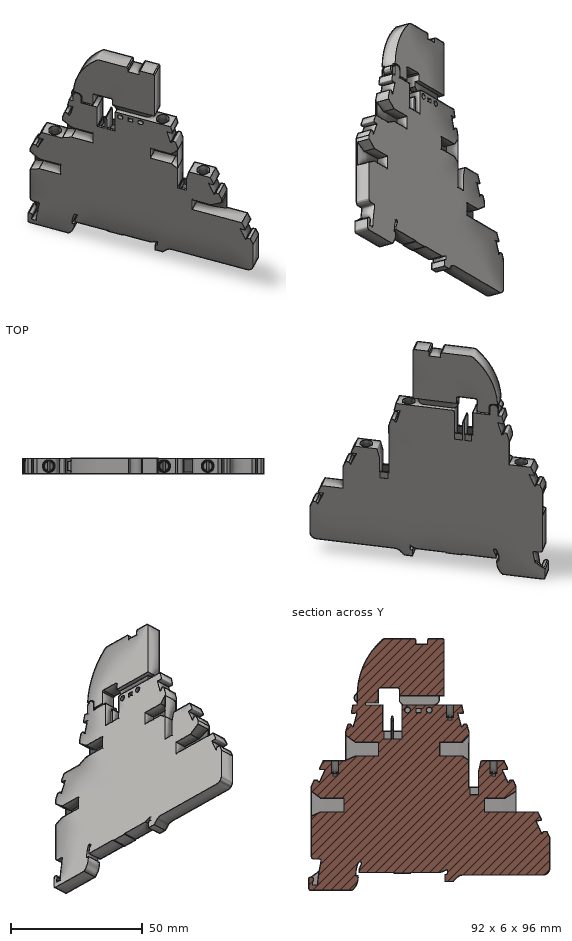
import cadquery as cq
height = 96
length = 91.95
plug_width = 6.0
body_width = 5.95
mid_y = body_width / 2

upper_deck_z = 70.7
middle_deck_z = 49.4
lower_deck_z = 29.9
deck_gap_floor_z = 39.35
left_shelf_z = 11.9
rail_seat_z = 6.8
right_base_z = 5.9
rail_foot_z = 3.4

lower_left_x = 1.0
upper_left_x = 14.1
upper_right_x = 61.0
deck_gap_right_x = 64.7
middle_right_x = 79.1
shelf_radius = 1.2
hook_radius = 1.0
base_radius = 2.7
diagonal = 0.5 ** 0.5

upper_corners_x = (16.9, 58.4)
middle_corners_x = (5.6, 74.5)
lower_corner_x = 87.3

web_thickness = 1.1

post_left_x = 18.4
post_right_x = 21.7
post_radius = (post_right_x - post_left_x) / 2
post_top_z = 75.3
cheek_width = 0.9

blade_slot_left_x = 28.3
blade_slot_right_x = 35.5
blade_slot_floor_z = 60.7
blade_slot_radius = 0.8
blade_x = 31.9
blade_thickness = 0.9
blade_tip_thickness = 0.3
blade_tip_length = 1.15
blade_top_z = 66.5

well_depth = 2.9
well_front_wall = 0.8
well_back_wall = 0.3
well_side_wall = 0.5

plug_left_x = 18.5
plug_right_x = 51.6
plug_bottom_z = 74.1
plug_leg_right_x = 26.6
plug_leg_bottom_z = 71.4
plug_window_right_x = 34.6
plug_window_top_z = 77.2
plug_notch_left_x = 40.9
plug_notch_right_x = 45.3
plug_notch_depth = 2.1
plug_corner = 0.5
post_clearance = 0.3
nub_width = 3.4
nub_tip_x = 17.4
nub_bottom_z = 71.8
nub_top_z = 75.1
plinth_right_x = 49.8
plinth_width = 2.5

screws = [(10.0, middle_deck_z), (53.9, upper_deck_z), (70.5, middle_deck_z)]
screw_hole_diameter = 4.8
screw_bore_diameter = 4.3
screw_diameter = 4.0
screw_top_diameter = 3.5
screw_hole_depth = 5.8
screw_rim_height = 0.5
screw_height = 1.4
screw_slot_width = 1.0
screw_slot_depth = 0.8

entry_height = 5.2
entry_top_flare = 2.7
entry_bottom_flare = 1.6
entry_depth = 4.6
entry_mouth_depth = 5.4
upper_entry_z = 51.3

test_hole_z = 68.7
test_holes_x = [37.7, 46.0]
test_hole_diameter = 2.1
window_x = sum(test_holes_x) / 2
window_z = 68.5
window_length = 1.8
window_height = 1.5
test_hole_depth = 1.9


def prism(steps, y_front, y_back):
    """Extrude a closed XZ outline along Y; a step is a point, or a (mid, end) pair for an arc."""
    outline = cq.Workplane("XZ", origin=(0, y_front, 0)).moveTo(*steps[0])
    for step in steps[1:]:
        if isinstance(step[0], tuple):
            outline = outline.threePointArc(*step)
        else:
            outline = outline.lineTo(*step)
    return outline.close().extrude(y_front - y_back)


def box(x_left, x_right, y_front, y_back, z_bottom, z_top):
    size = (x_right - x_left, y_back - y_front, z_top - z_bottom)
    return cq.Workplane("XY").box(*size, centered=False).translate((x_left, y_front, z_bottom))


def cylinder(x, z, diameter, length_z):
    return cq.Workplane("XY", origin=(x, mid_y, z)).circle(diameter / 2).extrude(length_z)


def reverse_path(steps):
    """The same run of lines and arcs, walked from its end to its start."""
    ends = [step[1] if isinstance(step[0], tuple) else step for step in steps]
    reverse = [ends[-1]]
    for index in range(len(steps) - 1, 0, -1):
        if isinstance(steps[index][0], tuple):
            reverse.append((steps[index][0], ends[index - 1]))
        else:
            reverse.append(ends[index - 1])
    return reverse


def marker_groove(corner_x, deck_z, side, steep):
    """Groove from a deck corner outwards and down to the wall; side is -1 for left, 1 for right."""
    def at(outward, down):
        return (corner_x + side * outward, deck_z - down)

    if steep:
        return [
            at(0, 0), at(0.6, 2.6), (at(0.5, 3.2), at(0, 3.3)), at(-1.5, 3.2), at(-0.1, 8.35),
            at(0.5, 8.0), (at(1.4, 7.3), at(2.1, 8.0)), at(2.8, 10.3),
        ]
    return [
        at(0, 0), at(1.3, 2.8), (at(1.2, 3.3), at(0.9, 3.4)), at(-0.7, 3.5), at(1.5, 8.35),
        at(2.2, 7.4), at(3.5, 7.4), at(4.4, 9.4), at(4.6, 10.0),
    ]


def body():
    left_steps = (
        reverse_path(marker_groove(middle_corners_x[0], middle_deck_z, -1, steep=False))
        + [(upper_left_x, middle_deck_z)]
        + reverse_path(marker_groove(upper_corners_x[0], upper_deck_z, -1, steep=True))
    )
    post_shoulder_z = post_top_z - post_radius
    post = [
        (post_left_x, upper_deck_z), (post_left_x, post_shoulder_z),
        ((post_left_x + post_radius, post_top_z), (post_right_x, post_shoulder_z)),
        (post_right_x, upper_deck_z),
    ]
    r = blade_slot_radius
    blade_slot = [
        (blade_slot_left_x, upper_deck_z), (blade_slot_left_x, blade_slot_floor_z),
        (blade_slot_right_x, blade_slot_floor_z), (blade_slot_right_x, upper_deck_z - r),
        ((blade_slot_right_x + r * (1 - diagonal), upper_deck_z - r * (1 - diagonal)),
         (blade_slot_right_x + r, upper_deck_z)),
    ]
    deck_gap = [
        (upper_right_x, deck_gap_floor_z), (deck_gap_right_x, deck_gap_floor_z),
        (deck_gap_right_x, 45.3), (65.6, 48.9), ((65.7, 49.2), (66.2, middle_deck_z)),
    ]
    right_steps = (
        marker_groove(upper_corners_x[1], upper_deck_z, 1, steep=True)
        + deck_gap
        + marker_groove(middle_corners_x[1], middle_deck_z, 1, steep=False)
        + [(middle_right_x, lower_deck_z)]
        + marker_groove(lower_corner_x, lower_deck_z, 1, steep=False)
    )
    r = base_radius
    base = [
        (length, right_base_z + r),
        ((length - r * (1 - diagonal), right_base_z + r * (1 - diagonal)), (length - r, right_base_z)),
    ]
    rail_foot = [
        (58.8, right_base_z), ((57.5, 5.6), (56.4, 4.8)), (55.0, rail_foot_z), (51.9, rail_foot_z),
        (51.9, 5.95), (52.9, 6.3), (52.9, 7.9), (52.3, 7.7), (50.2, rail_seat_z),
    ]
    rail_pad = [
        (38.8, rail_seat_z), (38.8, rail_seat_z - 0.3), (32.6, rail_seat_z - 0.3), (32.6, rail_seat_z),
    ]
    latch_slit = [
        (19.3, rail_seat_z), (19.3, 8.2), (20.2, 10.4), ((19.7, 10.8), (19.0, 10.7)),
        ((18.3, 8.6), (18.0, 5.7)), (18.9, 5.7), ((18.3, 2.3), (16.6, 0)),
    ]
    r = hook_radius
    hook = [
        (r, 0), ((r * (1 - diagonal), r * (1 - diagonal)), (0, r)), (0, 4.6), (0.5, 5.1),
        ((1.4, 5.0), (1.9, 4.0)), (1.5, 3.1), (1.5, 2.1), (3.4, 2.1), ((3.7, 5.8), (4.2, 8.6)),
        (4.7, 11.2), ((4.6, 11.7), (4.1, left_shelf_z)),
    ]
    r = shelf_radius
    shelf = [
        (lower_left_x + r, left_shelf_z),
        ((lower_left_x + r * (1 - diagonal), left_shelf_z + r * (1 - diagonal)),
         (lower_left_x, left_shelf_z + r)),
    ]
    outline = left_steps + post + blade_slot + right_steps + base
    outline += rail_foot + rail_pad + latch_slit + hook + shelf
    return prism(outline, 0, body_width)


def hook_web():
    outline = [(1.15, 5.3), (3.9, 7.3), (3.9, 1.9), (1.15, 1.9)]
    return prism(outline, body_width - web_thickness, body_width)


def slot_well(left_x, right_x, floor_z):
    return box(left_x + well_side_wall, right_x, well_front_wall, body_width - well_back_wall,
               floor_z - well_depth, floor_z)


def tongue_gap():
    """Space between the two cheeks of the latch post."""
    return box(post_left_x - 1, post_right_x, cheek_width, body_width - cheek_width,
               plug_leg_bottom_z, post_top_z + 1)


def blade():
    half = blade_thickness / 2
    half_tip = blade_tip_thickness / 2
    root_z = blade_slot_floor_z - well_depth
    shoulder_z = blade_top_z - blade_tip_length
    outline = [
        (blade_x - half, root_z), (blade_x - half, shoulder_z), (blade_x - half_tip, blade_top_z),
        (blade_x + half_tip, blade_top_z), (blade_x + half, shoulder_z), (blade_x + half, root_z),
    ]
    return prism(outline, 0, body_width)


def plug():
    c = plug_corner
    notch_z = height - plug_notch_depth
    outline = [
        (plug_left_x, plug_leg_bottom_z), (plug_left_x, post_top_z), ((22.0, 87.9), (28.0, 95.5)),
        ((28.5, 95.8), (29.1, height)), (plug_notch_left_x - c, height),
        (plug_notch_left_x, height - c), (plug_notch_left_x, notch_z), (plug_notch_right_x, notch_z),
        (plug_notch_right_x, height - c), (plug_notch_right_x + c, height),
        (plug_right_x - c, height), (plug_right_x, height - c), (plug_right_x, plug_bottom_z),
        (plug_window_right_x, plug_bottom_z), (plug_window_right_x, plug_window_top_z - c),
        (plug_window_right_x - c, plug_window_top_z), (plug_leg_right_x + c, plug_window_top_z),
        (plug_leg_right_x, plug_window_top_z - c), (plug_leg_right_x, plug_leg_bottom_z),
    ]
    left = post_left_x - 1
    right = post_right_x + post_clearance
    bottom = plug_leg_bottom_z - 1
    top = post_top_z + post_clearance
    middle = post_left_x + post_radius
    radius = right - middle
    recess = [
        (left, bottom), (left, top), (middle, top),
        ((middle + radius * diagonal, top - radius * (1 - diagonal)), (right, top - radius)),
        (right, bottom),
    ]
    front_recess = prism(recess, 0, cheek_width)
    back_recess = prism(recess, body_width - cheek_width, plug_width)
    return prism(outline, 0, plug_width).cut(front_recess).cut(back_recess)


def latch_nub():
    mid_z = (nub_bottom_z + nub_top_z) / 2
    root_x = post_left_x + 1
    outline = [
        (root_x, nub_bottom_z), (post_left_x, nub_bottom_z),
        ((nub_tip_x, mid_z), (post_left_x, nub_top_z)), (root_x, nub_top_z),
    ]
    return prism(outline, mid_y - nub_width / 2, mid_y + nub_width / 2)


def plinth():
    outline = [
        (plug_window_right_x, plug_bottom_z), (plug_window_right_x, 72.1), (35.7, upper_deck_z),
        (47.9, upper_deck_z), ((49.2, 71.3), (plinth_right_x, 72.6)), (plinth_right_x, plug_bottom_z),
    ]
    return prism(outline, mid_y - plinth_width / 2, mid_y + plinth_width / 2)


def wire_entry(mouth_x, side, floor_z, funnel, ramp, total, bottom_flare=entry_bottom_flare):
    """Wire entry open at the front; it flares towards its mouth, which faces the given side."""
    top_z = floor_z + entry_height
    mouth_bottom_z = floor_z - bottom_flare
    mouth_top_z = top_z + entry_top_flare
    end_x = mouth_x - side * total
    throat_x = mouth_x - side * funnel
    ramp_x = mouth_x - side * ramp
    outline = [
        (end_x, floor_z), (throat_x, floor_z), (mouth_x, mouth_bottom_z),
        (mouth_x, mouth_top_z), (throat_x, top_z), (end_x, top_z),
    ]
    plan = [
        (end_x, 0), (end_x, entry_depth), (ramp_x, entry_depth),
        (mouth_x, entry_mouth_depth), (mouth_x, 0),
    ]
    envelope = cq.Workplane("XY").polyline(plan).close().extrude(height)
    return prism(outline, 0, entry_mouth_depth).intersect(envelope)


def screw_hole(x, deck_z):
    """Stepped hole with a slotted screw head left standing on its floor."""
    floor_z = deck_z - screw_hole_depth
    screw_top_z = floor_z + screw_height
    rim_z = screw_top_z - screw_rim_height
    bevel = (screw_diameter - screw_top_diameter) / 2
    half_slot = screw_slot_width / 2
    slot = box(x - half_slot, x + half_slot, 0, body_width, screw_top_z - screw_slot_depth, screw_top_z)
    screw = cylinder(x, floor_z, screw_diameter, screw_height).faces(">Z").chamfer(bevel).cut(slot)
    bore = cylinder(x, floor_z, screw_bore_diameter, screw_hole_depth)
    mouth = cylinder(x, rim_z, screw_hole_diameter, deck_z - rim_z)
    return bore.union(mouth).cut(screw)


def test_holes():
    points = [(x, test_hole_z) for x in test_holes_x]
    holes = cq.Workplane("XZ").pushPoints(points).circle(test_hole_diameter / 2)
    window = cq.Workplane("XZ").center(window_x, window_z).rect(window_length, window_height)
    return holes.extrude(-test_hole_depth).union(window.extrude(-test_hole_depth))


result = body().union(hook_web())
result = result.cut(slot_well(blade_slot_left_x, blade_slot_right_x, blade_slot_floor_z))
result = result.cut(slot_well(upper_right_x, deck_gap_right_x, deck_gap_floor_z))
result = result.cut(tongue_gap())
for part in (blade(), plinth(), plug(), latch_nub()):
    result = result.union(part)

result = result.cut(wire_entry(upper_left_x, -1, upper_entry_z, funnel=3.7, ramp=5.5, total=12.5))
result = result.cut(wire_entry(lower_left_x, -1, lower_deck_z, funnel=3.6, ramp=5.2, total=12.5))
result = result.cut(wire_entry(upper_right_x, 1, upper_entry_z, funnel=2.4, ramp=3.6, total=11.0))
result = result.cut(
    wire_entry(middle_right_x, 1, lower_deck_z, funnel=4.2, ramp=4.9, total=12.0, bottom_flare=0)
)
for screw_x, screw_deck_z in screws:
    result = result.cut(screw_hole(screw_x, screw_deck_z))
result = result.cut(test_holes())